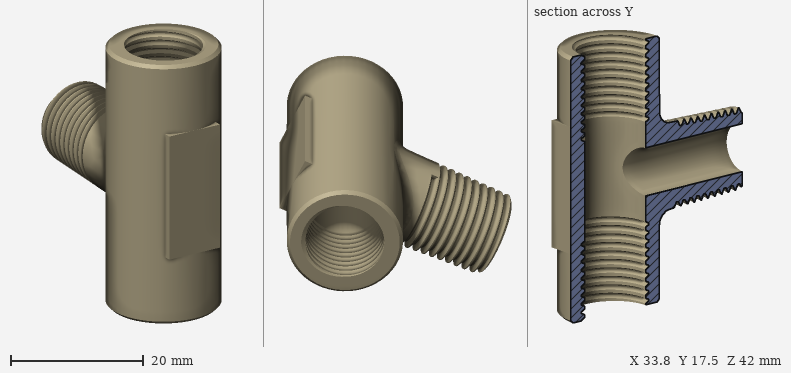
import cadquery as cq
import math

tube_diameter = 17.5
tube_length = 42.0
tube_chamfer = 0.5
tube_bore_diameter = 11.89

branch_reach = 25.0
branch_tip_diameter = 12.85
branch_tip_chamfer = 0.5
branch_bore_diameter = 7.5
branch_fillet = 2.0
radial_taper = 1 / 32

pad_width = 9.0
pad_height = 20.0

thread_pitch = 25.4 / 19
cutter_overlap = 0.15

male_groove_start = 26.9
male_groove_turns = 11.2
male_groove_depth = 0.83
male_root_width = 0.32
male_mouth_width = 1.15

female_major_diameter = 13.157
female_thread_turns = 10
female_root_width = 0.2
female_mouth_width = 0.85

tube_radius = tube_diameter / 2
branch_tip_radius = branch_tip_diameter / 2
branch_base_radius = branch_tip_radius + branch_reach * radial_taper


def make_tube():
    """Chamfered solid cylinder of the main tube."""
    tube = cq.Workplane("XY").circle(tube_radius).extrude(tube_length / 2, both=True)
    return tube.faces("|Z").chamfer(tube_chamfer)


def revolve_about_x(outline):
    """Solid of revolution about the X axis from points (x, radius)."""
    return cq.Workplane("XZ").polyline(outline).close().revolve(360, (0, 0, 0), (1, 0, 0))


def make_branch():
    """Solid cone from the tube axis to the tip of the branch."""
    return revolve_about_x([
        (0, 0),
        (-branch_reach, 0),
        (-branch_reach, branch_tip_radius),
        (0, branch_base_radius),
    ])


def make_tip_chamfer_cutter():
    """Triangular ring that takes a 45 degree chamfer off the tip of the branch."""
    leg = branch_tip_chamfer + cutter_overlap
    outer_radius = branch_tip_radius + cutter_overlap
    return revolve_about_x([
        (-branch_reach, outer_radius - leg),
        (-branch_reach, outer_radius),
        (-branch_reach + leg, outer_radius),
    ])


def make_pad():
    """Block whose outer face touches the +X side of the tube."""
    pad = cq.Workplane("XY").box(tube_radius, pad_width, pad_height)
    return pad.translate((tube_radius / 2, 0, 0))


def thread_cutter(helix, mouth_radius, root_radius, mouth_width, root_width):
    """Sweep a trapezoidal groove section along a helix that starts at Z = 0 on the +X side."""
    flank_slope = (mouth_width - root_width) / 2 / abs(root_radius - mouth_radius)
    clear_half_width = mouth_width / 2 + flank_slope * cutter_overlap
    clear_radius = mouth_radius + math.copysign(cutter_overlap, mouth_radius - root_radius)
    section = [
        (root_radius, -root_width / 2),
        (root_radius, root_width / 2),
        (clear_radius, clear_half_width),
        (clear_radius, -clear_half_width),
    ]
    path = cq.Workplane(helix)
    return cq.Workplane("XZ").polyline(section).close().sweep(path, isFrenet=True)


def make_male_groove():
    """Tapered thread groove that runs in from beyond the branch tip."""
    length = male_groove_turns * thread_pitch
    start_radius = branch_base_radius - male_groove_start * radial_taper
    taper_angle = math.degrees(math.atan(radial_taper))
    helix = cq.Wire.makeHelix(thread_pitch, length, start_radius, angle=taper_angle)
    groove = thread_cutter(
        helix, start_radius, start_radius - male_groove_depth, male_mouth_width, male_root_width
    )
    return groove.rotate((0, 0, 0), (0, 1, 0), 90).translate((-male_groove_start, 0, 0))


def make_female_groove():
    """Straight thread groove in the top of the bore, ending flush with the end face."""
    depth = female_thread_turns * thread_pitch
    bore_radius = tube_bore_diameter / 2
    helix = cq.Wire.makeHelix(thread_pitch, depth + thread_pitch, bore_radius)
    groove = thread_cutter(
        helix, bore_radius, female_major_diameter / 2, female_mouth_width, female_root_width
    )
    groove = groove.translate((0, 0, tube_length / 2 - depth))
    upper_half = cq.Workplane("XY").circle(tube_radius).extrude(tube_length / 2)
    return groove.intersect(upper_half)


body = make_tube().union(make_branch())
junction_limit = tube_radius + branch_fillet
junction = cq.selectors.BoxSelector(
    (-junction_limit, -junction_limit, -junction_limit),
    (0, junction_limit, junction_limit),
    boundingbox=True,
)
body = body.edges(junction).fillet(branch_fillet)
body = body.union(make_pad())

tube_bore = cq.Workplane("XY").circle(tube_bore_diameter / 2).extrude(tube_length / 2, both=True)
branch_bore = cq.Workplane("YZ").circle(branch_bore_diameter / 2).extrude(-branch_reach)
body = body.cut(tube_bore).cut(branch_bore)

body = body.cut(make_male_groove()).cut(make_tip_chamfer_cutter())
top_groove = make_female_groove()
bottom_groove = top_groove.rotate((0, 0, 0), (1, 0, 0), 180)
result = body.cut(top_groove).cut(bottom_groove)